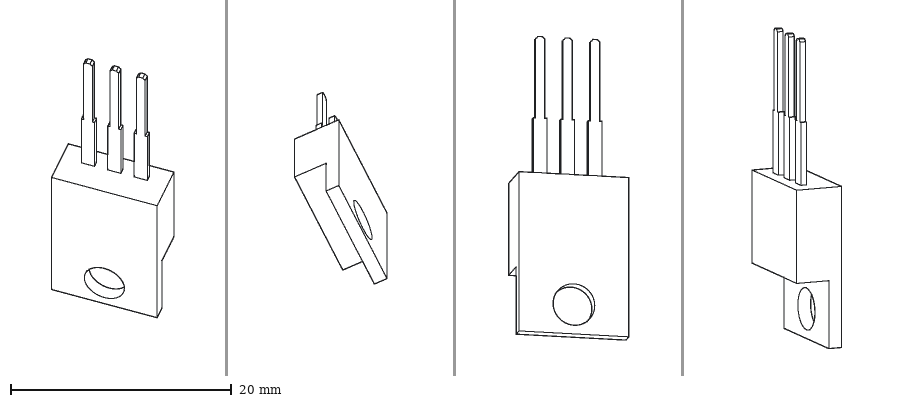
import cadquery as cq

BODY_WIDTH = 10.2
BODY_DEPTH = 4.45
BODY_TOP = 14.9
TAB_THICKNESS = 1.28
TAB_HEIGHT = 6.3
HOLE_DIAMETER = 3.85
HOLE_HEIGHT = 2.75

TOTAL_HEIGHT = 28.35
PIN_PITCH = 2.55
PIN_THICKNESS = 0.57
PIN_CENTER_Y = 2.92
PIN_SHOULDER_HEIGHT = 20.72
PIN_BASE_WIDTH = 1.28
PIN_TIP_WIDTH = 0.85
PIN_TIP_CHAMFER = 0.23


def make_body():
    """Package block with a thin tab below it, pierced by the mounting hole."""
    profile = [
        (0, 0),
        (TAB_THICKNESS, 0),
        (TAB_THICKNESS, TAB_HEIGHT),
        (BODY_DEPTH, TAB_HEIGHT),
        (BODY_DEPTH, BODY_TOP),
        (0, BODY_TOP),
    ]
    body = cq.Workplane("YZ").polyline(profile).close().extrude(BODY_WIDTH / 2, both=True)
    hole = (
        cq.Workplane("XZ")
        .center(0, HOLE_HEIGHT)
        .circle(HOLE_DIAMETER / 2)
        .extrude(-TAB_THICKNESS)
    )
    return body.cut(hole)


def make_bar(x, width, bottom, top):
    """Upright rectangular bar on the pin row."""
    return (
        cq.Workplane("XY", origin=(x, PIN_CENTER_Y, bottom))
        .rect(width, PIN_THICKNESS)
        .extrude(top - bottom)
    )


def make_pin(x):
    """Flat pin with a wide base and a narrower, chamfered end."""
    base = make_bar(x, PIN_BASE_WIDTH, BODY_TOP, PIN_SHOULDER_HEIGHT)
    tip = make_bar(x, PIN_TIP_WIDTH, PIN_SHOULDER_HEIGHT, TOTAL_HEIGHT)
    tip = tip.faces(">Z").edges("|Y").chamfer(PIN_TIP_CHAMFER)
    return base.union(tip)


result = make_body()
for position in (-1, 0, 1):
    result = result.union(make_pin(position * PIN_PITCH))